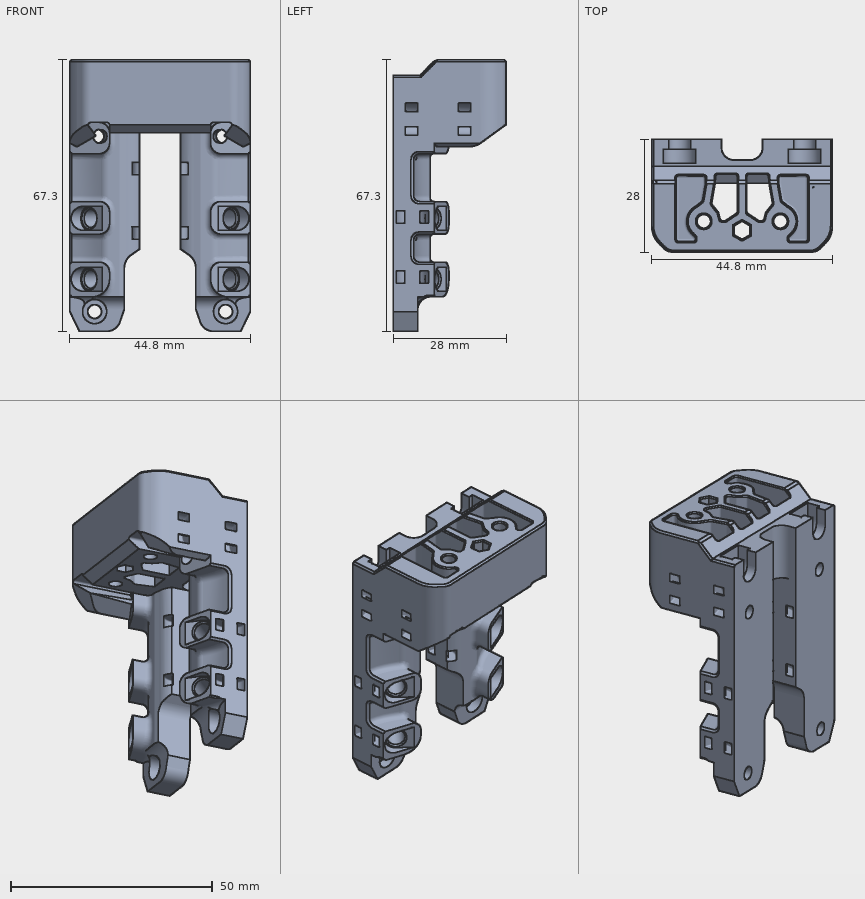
import cadquery as cq
import math


width = 44.8
depth = 28.0
height = 67.3
half_width = width / 2

rear_top_z = 63.5
slope_start_y = -6.7
crest_bevel = 0.55
crest_y = slope_start_y - (height - rear_top_z)
corner_chamfer = 3.9
corner_side_radius = 6.05
corner_front_radius = 2.95
top_edge_chamfer = 0.5
head_bottom_z = 49.2
front_edge_z = 51.25
underside_run = 7.6
head_low_z = 45.7
underside_radius = 5.4
side_bottom_z = 46.65
corner_low_x = -20.6
ridge_x = -15.9
ridge_z = 48.5
notch_outer_x = -17.85
notch_outer_z = 51.05
notch_corner_radius = 0.7

slot_x = -15.5
slot_z = 59.45
access_z = 48.35
access_front_x = -14.9
access_back_x = -15.6
access_front_y = -12.8
access_diameter = 3.4
slot_width = 5.45
slot_head_width = 8.0
slot_lip = 2.55
slot_back_y = -6.05

gap_half_width = 5.05
gap_depth = 5.2
gap_corner_radius = 3.0

leg_front_y = -9.2
leg_side_y = -5.0
leg_inner_y = -7.0
recess_bevel = 0.55
leg_gap_low_z = 20.4
leg_top_z = 60.6
foot_front_y = -6.1
foot_step_z = 8.55
foot_step_radius = foot_front_y - leg_front_y
foot_inner_x = -8.8
foot_corner_x = -21.8
foot_corner_tilt = 50.0
foot_hole_x = -16.2
foot_hole_z = 4.9
foot_hole_diameter = 3.4
foot_seat_diameter = 6.0
foot_seat_y = -3.4

boss_corner_radius = 2.55
notch_top_z = 51.8
upper_boss = (44.05, notch_top_z, boss_corner_radius)
middle_boss = (24.1, 32.2, boss_corner_radius)
lower_boss = (foot_step_z, 17.2, 4.4)
boss_inner_x = -12.5
boss_outer_y = -10.2
boss_inner_y = -13.9
boss_root_radius = 1.5

pocket_z = (28.0, 12.9)
pocket_width = 6.0
pocket_tilt = 45.0
pocket_center_x = -17.5
pocket_center_y = -10.0
pocket_length = 5.4
bore_diameter = 4.5
bore_depth = 6.7
bore_chamfer = 0.4

tie_inner_radius = 1.9
tie_outer_radius = 4.05
tie_width = 3.1
tie_edge_radius = 0.35
tie_leg_y = -4.8
tie_outer_z = (28.35, 13.45)
tie_inner_z = (40.3, 24.45)
tie_head_z = 52.6
tie_head_y = (-4.6, -17.7)

post_x = -9.5
post_y = -20.4
post_hole_diameter = 3.4
post_radius = 4.25
hex_y = -22.6
hex_diameter = 4.5
rim_chamfer = 0.35
side_pocket_floor_z = 53.85
side_pocket_corner_radius = 0.6
side_pocket_floor_radius = 0.7
window_corner_radius = 0.6
window_back_y = -8.7
window_low_back_y = -11.0
window_ledge_z = 59.25
window_ledge_slope = 0.72

margin = 0.7
tolerance = 0.01


def both_sides(shape):
    return shape.union(shape.mirror("YZ"))


def prism_y(outline, back_y, front_y):
    """Solid with an outline in X and Z, running from back_y forward to front_y."""
    sketch = cq.Workplane("XZ", origin=(0, back_y, 0)).polyline(outline).close()
    return sketch.extrude(back_y - front_y)


def box(x_range, y_range, z_range):
    low, high = zip(x_range, y_range, z_range)
    size = [b - a for a, b in zip(low, high)]
    return cq.Workplane("XY").box(*size, centered=False).translate(low)


def hole_y(x, z, diameter, front_y, back_y):
    circle = cq.Workplane("XZ", origin=(0, back_y, 0)).center(x, z).circle(diameter / 2)
    return circle.extrude(back_y - front_y)


def head_block():
    underside_bend = (-depth + underside_run, head_low_z)
    profile = [
        (0, head_low_z),
        (0, rear_top_z),
        (slope_start_y, rear_top_z),
        (crest_y, height),
        (-depth, height),
        (-depth, front_edge_z),
        underside_bend,
    ]
    block = cq.Workplane("YZ").polyline(profile).close().extrude(half_width, both=True)
    at_bend = cq.selectors.NearestToPointSelector((0, *underside_bend))
    block = block.edges("|X").edges(at_bend).fillet(underside_radius)
    block = block.edges("|Z and <Y").chamfer(corner_chamfer)
    block = block.faces("<X or >X").edges("|Z and <Y").fillet(corner_side_radius)
    block = block.faces("<Y").edges("|Z").fillet(corner_front_radius)

    def on_top_rim(edge):
        center = edge.Center()
        on_side = abs(center.x) > half_width - tolerance
        is_outer = on_side or center.y < -depth + corner_chamfer + corner_side_radius
        return is_outer and center.z >= rear_top_z

    rim = [edge for edge in block.edges().vals() if on_top_rim(edge)]
    block = block.newObject(rim).chamfer(top_edge_chamfer)
    return block.cut(both_sides(head_underside()))


def head_underside():
    """Space below the head: flat in the middle, stepped up over the upper boss, low at the side."""
    outline = [
        (0, 0),
        (0, head_bottom_z),
        (boss_inner_x, head_bottom_z),
        (boss_inner_x, notch_top_z),
        (notch_outer_x, notch_top_z),
        (notch_outer_x, notch_outer_z),
        (ridge_x, ridge_z),
        (corner_low_x, head_low_z),
        (-half_width, side_bottom_z),
        (-half_width, 0),
    ]
    space = prism_y(outline, 0, -depth)
    is_notch_corner = cq.selectors.BoxSelector(
        (notch_outer_x - margin, -depth, notch_top_z - margin / 2),
        (boss_inner_x + margin, 0, notch_top_z + margin / 2),
    )
    return space.edges("|Y").edges(is_notch_corner).fillet(notch_corner_radius)


def leg_column():
    """Leg cross-section: hollowed toward the outer side, flat in front, rounded to the gap."""
    outline = (
        cq.Workplane("XY")
        .moveTo(-half_width, 0)
        .lineTo(-half_width, leg_side_y)
        .threePointArc((-18.3, -6.3), (-14.7, -8.5))
        .threePointArc((-13.8, -9.0), (-12.8, leg_front_y))
        .lineTo(-10.0, leg_front_y)
        .lineTo(-8.3, -8.75)
        .threePointArc((-6.5, -8.15), (-gap_half_width, leg_inner_y))
        .lineTo(-gap_half_width, 0)
        .close()
    )
    return outline.extrude(leg_top_z)


def boss(bottom, top, low_corner_radius):
    """Block across the leg with two rounded inner corners and a slanted front face."""
    block = box((-half_width, boss_inner_x), (boss_inner_y, 0), (bottom, top))
    block = block.edges("|Y and >X and >Z").fillet(boss_corner_radius)
    block = block.edges("|Y and >X and <Z").fillet(low_corner_radius)
    beyond_face = (
        cq.Workplane("XY")
        .polyline([
            (-half_width, boss_outer_y),
            (boss_inner_x, boss_inner_y),
            (-half_width, boss_inner_y),
        ])
        .close()
        .extrude(height)
    )
    return block.cut(beyond_face)


def with_boss(solid, bottom, top, low_corner_radius):
    """Add a boss and round the inside corner where it meets the leg."""
    solid = solid.union(boss(bottom, top, low_corner_radius))

    def is_root(edge):
        center = edge.Center()
        upright = abs(edge.tangentAt(0.5).z) > 0.7 - tolerance
        on_leg_front = leg_front_y - tolerance < center.y < leg_side_y
        on_boss = -half_width + tolerance < center.x < boss_inner_x + tolerance
        at_height = bottom - tolerance < center.z < top + tolerance
        on_inner_wall = abs(center.x - boss_inner_x) < tolerance
        return on_leg_front and on_boss and at_height and (on_inner_wall or not upright)

    roots = [edge for edge in solid.edges().vals() if is_root(edge)]
    return solid.newObject(roots).fillet(boss_root_radius)


def with_recess_bevel(solid):
    """Bevel the side outline of the recesses between the bosses."""
    def on_outline(edge):
        center = edge.Center()
        on_side = abs(center.x + half_width) < tolerance
        at_recess = boss_outer_y + tolerance < center.y < leg_side_y + tolerance
        return on_side and at_recess and foot_step_z + margin < center.z < notch_top_z - margin

    outline = [edge for edge in solid.edges().vals() if on_outline(edge)]
    return solid.newObject(outline).chamfer(recess_bevel)


def leg():
    solid = leg_column()
    for boss_sizes in (upper_boss, middle_boss, lower_boss):
        solid = with_boss(solid, *boss_sizes)
    solid = with_recess_bevel(solid)
    foot = box((-half_width, -gap_half_width), (foot_front_y, 0), (0, foot_step_z))
    clearance = foot_clearance()
    corner_clearance = clearance.rotate(
        (foot_corner_x, 0, foot_step_z),
        (foot_corner_x, -1, foot_step_z),
        -foot_corner_tilt,
    )
    return solid.union(foot).cut(clearance).cut(corner_clearance).intersect(leg_outline())


def foot_clearance():
    """Space in front of the foot, with a concave round up to the leg front."""
    return (
        cq.Workplane("YZ", origin=(-half_width, 0, 0))
        .moveTo(foot_front_y, 0)
        .lineTo(foot_front_y, foot_step_z - foot_step_radius)
        .radiusArc((leg_front_y, foot_step_z), -foot_step_radius)
        .lineTo(boss_inner_y, foot_step_z)
        .lineTo(boss_inner_y, 0)
        .close()
        .extrude(half_width)
    )


def leg_outline():
    """Front outline of a leg, narrowing to the foot."""
    return (
        cq.Workplane("XZ")
        .moveTo(-half_width, height)
        .lineTo(-half_width, foot_hole_z)
        .lineTo(-20.0, 0)
        .lineTo(-12.9, 0)
        .threePointArc((-10.9, 0.9), (-9.75, 2.8))
        .lineTo(foot_inner_x, 5.5)
        .lineTo(foot_inner_x, 15.95)
        .threePointArc((-8.3, 17.7), (-7.3, 18.85))
        .lineTo(-gap_half_width, leg_gap_low_z)
        .lineTo(-gap_half_width, height)
        .close()
        .extrude(depth)
    )


def foot_hole():
    hole = hole_y(foot_hole_x, foot_hole_z, foot_hole_diameter, -depth, 0)
    seat = hole_y(foot_hole_x, foot_hole_z, foot_seat_diameter, -depth, foot_seat_y)
    return hole.union(seat)


def access_hole():
    """Slightly tilted hole through the upper boss and the back."""
    run_x = access_back_x - access_front_x
    run_y = -access_front_y
    start = cq.Plane(
        origin=(access_front_x - run_x, access_front_y - run_y, access_z),
        xDir=(0, 0, 1),
        normal=(run_x, run_y, 0),
    )
    length = 2.5 * math.hypot(run_x, run_y)
    return cq.Workplane(start).circle(access_diameter / 2).extrude(length)


def keyed_slot():
    """Slot open at the back and the top that hangs on a screw head."""
    cutter = cq.Workplane("XY")
    for size, back_y, front_y in (
        (slot_width, 0, -slot_lip),
        (slot_head_width, -slot_lip, slot_back_y),
    ):
        x_range = (slot_x - size / 2, slot_x + size / 2)
        cutter = cutter.union(hole_y(slot_x, slot_z, size, front_y, back_y))
        cutter = cutter.union(box(x_range, (front_y, back_y), (slot_z, height)))
    return cutter


def slanted_pocket(z):
    """Flat-floored pocket, round outside and open inward, with a blind bore in its floor."""
    tilt = math.radians(pocket_tilt)
    floor = cq.Plane(
        origin=(pocket_center_x, pocket_center_y, z),
        xDir=(math.cos(tilt), -math.sin(tilt), 0),
        normal=(-math.sin(tilt), -math.cos(tilt), 0),
    )
    bore_radius = bore_diameter / 2
    pocket = cq.Workplane(floor).circle(pocket_width / 2).extrude(pocket_length)
    open_end = cq.Workplane(floor).center(pocket_length / 2, 0).rect(pocket_length, pocket_width)
    bore = cq.Workplane(floor).circle(bore_radius).extrude(-bore_depth)
    mouth = cq.Workplane(floor).circle(bore_radius + bore_chamfer).extrude(-bore_chamfer, taper=45)
    return pocket.union(open_end.extrude(pocket_length)).union(bore).union(mouth)


def tie_ring():
    ring = cq.Workplane("XY").circle(tie_outer_radius).circle(tie_inner_radius)
    return ring.extrude(tie_width / 2, both=True).edges().fillet(tie_edge_radius)


def tie_channels():
    """Rings centred on the side faces, each leaving a curved channel with two openings."""
    flat_ring = tie_ring()
    upright_ring = flat_ring.rotate((0, 0, 0), (1, 0, 0), 90)
    channels = cq.Workplane("XY")
    for z in tie_outer_z:
        channels = channels.union(flat_ring.translate((-half_width, tie_leg_y, z)))
    for z in tie_inner_z:
        channels = channels.union(flat_ring.translate((-gap_half_width, tie_leg_y, z)))
    for y in tie_head_y:
        channels = channels.union(upright_ring.translate((-half_width, y, tie_head_z)))
    return channels


def post_hole():
    return cq.Workplane("XY").center(post_x, post_y).circle(post_hole_diameter / 2).extrude(height)


def hex_hole():
    hexagon = cq.Workplane("XY").polygon(6, hex_diameter).extrude(height)
    return hexagon.rotate((0, 0, 0), (0, 0, 1), 30).translate((0, hex_y, 0))


def side_pocket():
    """Blind pocket from the top, curving around the screw post."""
    pocket = (
        cq.Workplane("XY", origin=(0, 0, side_pocket_floor_z))
        .moveTo(-16.3, -9.0)
        .lineTo(-16.3, -25.4)
        .lineTo(-11.5, -25.4)
        .lineTo(-11.5, -24.4)
        .lineTo(-12.65, -23.2)
        .threePointArc((post_x - post_radius, post_y), (-11.45, -16.6))
        .lineTo(-9.8, -15.35)
        .lineTo(-9.1, -11.1)
        .lineTo(-9.1, -9.0)
        .close()
        .extrude(height - side_pocket_floor_z)
    )
    pocket = pocket.edges("|Z").fillet(side_pocket_corner_radius)
    return pocket.faces("<Z").edges().fillet(side_pocket_floor_radius)


def window():
    """Through opening beside the middle rib; its back wall steps forward on a slanted ledge."""
    opening = (
        cq.Workplane("XY")
        .polyline([
            (-1.2, window_back_y),
            (-6.45, window_back_y),
            (-6.65, window_low_back_y),
            (-7.55, -16.1),
            (-5.85, -18.2),
            (-5.3, -20.25),
            (-4.2, -20.25),
            (-1.2, -18.3),
        ])
        .close()
        .extrude(height)
        .edges("|Z")
        .fillet(window_corner_radius)
    )
    ledge_run = window_back_y - window_low_back_y
    ledge = (
        cq.Workplane("YZ")
        .polyline([
            (window_back_y, 0),
            (window_back_y, window_ledge_z),
            (window_low_back_y, window_ledge_z - window_ledge_slope * ledge_run),
            (window_low_back_y, 0),
        ])
        .close()
        .extrude(-half_width)
    )
    return opening.cut(ledge)


def crest_strip():
    """Strip that bevels the crest between the slope and the flat top."""
    slope_step = crest_bevel / math.sqrt(2)
    profile = [
        (crest_y + slope_step, height - slope_step),
        (crest_y - crest_bevel, height),
        (crest_y + crest_bevel, height + crest_bevel),
    ]
    return cq.Workplane("YZ").polyline(profile).close().extrude(half_width, both=True)


def head():
    """Head block with its vertical holes and pockets, their rims bevelled."""
    block = head_block().cut(hex_hole())
    for cutter in (post_hole(), side_pocket(), window()):
        block = block.cut(both_sides(cutter))

    def on_rim(edge):
        bounds = edge.BoundingBox()
        inside = bounds.ymin > -depth + margin and bounds.ymax < slope_start_y - margin
        inside = inside and max(bounds.xmax, -bounds.xmin) < half_width - corner_chamfer
        upright = max(bounds.xlen, bounds.ylen) < tolerance
        on_crest = bounds.ylen < tolerance and abs(bounds.ymin - crest_y) < tolerance
        return inside and bounds.zmin > rear_top_z + tolerance and not upright and not on_crest

    rims = [edge for edge in block.edges().vals() if on_rim(edge)]
    block = block.newObject(rims).chamfer(rim_chamfer)
    return block.cut(crest_strip())


def back_groove():
    groove = box((-gap_half_width, gap_half_width), (-gap_depth, 0), (0, height))
    return groove.edges("|Z and <Y").fillet(gap_corner_radius)


result = head().union(both_sides(leg())).cut(back_groove())
side_cuts = [foot_hole(), access_hole(), keyed_slot(), tie_channels()]
side_cuts += [slanted_pocket(z) for z in pocket_z]
for cutter in side_cuts:
    result = result.cut(cutter).cut(cutter.mirror("YZ"))